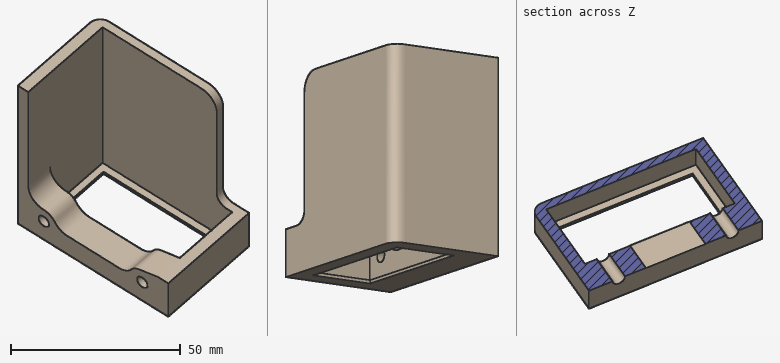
import cadquery as cq
import math

width = 58.0
depth = 37.0
height = 60.0

side_wall = 4.0
back_wall = 3.0
rail_depth = 10.0
rim_height = 14.5
floor_thickness = 1.0
outer_corner_radius = side_wall

window_width = 45.0
window_depth = 20.0
window_front_margin = 1.5

hole_diameter = 4.0
hole_height = 8.0
hole_inset = 10.0

boss_radius = 5.0
blend_radius = 6.0

panel_top_radius = 6.0
panel_foot_radius = 4.0

left_hole_x = hole_inset
right_hole_x = width - hole_inset
inner_left = side_wall
inner_right = width - side_wall
panel_right = right_hole_x
pocket_back = depth - back_wall


def point_on_circle(center, radius, angle):
    return (center[0] + radius * math.cos(angle), center[1] + radius * math.sin(angle))


def blend_arc(profile, center, radius, start_angle, end_angle):
    """Continue the profile from its current point along an arc of the given circle."""
    middle = point_on_circle(center, radius, (start_angle + end_angle) / 2)
    end = point_on_circle(center, radius, end_angle)
    return profile.threePointArc(middle, end)


def make_block():
    block = cq.Workplane("XY").box(width, depth, height, centered=False)
    return block.edges("|Z and <X and >Y").fillet(outer_corner_radius)


def make_pocket():
    return cq.Workplane("XY").box(
        inner_right - inner_left, pocket_back - rail_depth, height, centered=False
    ).translate((inner_left, rail_depth, floor_thickness))


def make_window():
    window_left = (width - window_width) / 2
    return cq.Workplane("XY").box(
        window_width, window_depth, floor_thickness, centered=False
    ).translate((window_left, rail_depth + window_front_margin, 0))


def make_rail_opening():
    """Space above the rail: the rail rises around each hole and dips between them."""
    left_boss = (left_hole_x, hole_height)
    right_boss = (right_hole_x, hole_height)
    dip_height = hole_height

    corner_radius = left_hole_x - inner_left
    corner = (left_hole_x, hole_height + boss_radius + corner_radius)

    boss_to_dip = boss_radius + blend_radius
    dip_angle = math.asin(blend_radius / boss_to_dip)
    dip_offset = boss_to_dip * math.cos(dip_angle)
    left_dip = (left_hole_x + dip_offset, dip_height + blend_radius)
    right_dip = (right_hole_x - dip_offset, dip_height + blend_radius)

    ramp_run = inner_right - right_hole_x
    ramp_rise = rim_height - hole_height
    ramp_angle = math.atan2(ramp_rise, ramp_run) + math.acos(boss_radius / math.hypot(ramp_run, ramp_rise))

    quarter_turn = math.pi / 2
    profile = cq.Workplane("XZ").moveTo(inner_left, height).lineTo(inner_left, corner[1])
    profile = blend_arc(profile, corner, corner_radius, 2 * quarter_turn, 3 * quarter_turn)
    profile = blend_arc(profile, left_boss, boss_radius, quarter_turn, dip_angle)
    profile = blend_arc(profile, left_dip, blend_radius, 2 * quarter_turn + dip_angle, 3 * quarter_turn)
    profile = profile.lineTo(right_dip[0], dip_height)
    profile = blend_arc(profile, right_dip, blend_radius, -quarter_turn, -dip_angle)
    profile = blend_arc(profile, right_boss, boss_radius, 2 * quarter_turn - dip_angle, ramp_angle)
    profile = profile.lineTo(inner_right, rim_height).lineTo(width, rim_height).lineTo(width, height)
    return profile.close().extrude(-rail_depth)


def make_right_wall_clearance():
    """Space above the right wall, between the rail and the back panel."""
    return cq.Workplane("XY").box(
        side_wall, pocket_back - rail_depth, height - rim_height, centered=False
    ).translate((inner_right, rail_depth, rim_height))


def make_panel_clearance():
    """Space to the right of the back panel: rounded top corner and rounded foot."""
    clearance = (
        cq.Workplane("XZ", origin=(0, pocket_back, 0))
        .moveTo(panel_right - panel_top_radius, height)
        .radiusArc((panel_right, height - panel_top_radius), panel_top_radius)
        .lineTo(panel_right, rim_height + panel_foot_radius)
        .radiusArc((panel_right + panel_foot_radius, rim_height), -panel_foot_radius)
        .lineTo(width, rim_height)
        .lineTo(width, height)
        .close()
    )
    return clearance.extrude(-back_wall)


def make_screw_holes():
    holes = cq.Workplane("XZ").pushPoints([(x, hole_height) for x in (left_hole_x, right_hole_x)])
    return holes.circle(hole_diameter / 2).extrude(-rail_depth)


result = (
    make_block()
    .cut(make_pocket())
    .cut(make_window())
    .cut(make_rail_opening())
    .cut(make_right_wall_clearance())
    .cut(make_panel_clearance())
    .cut(make_screw_holes())
)